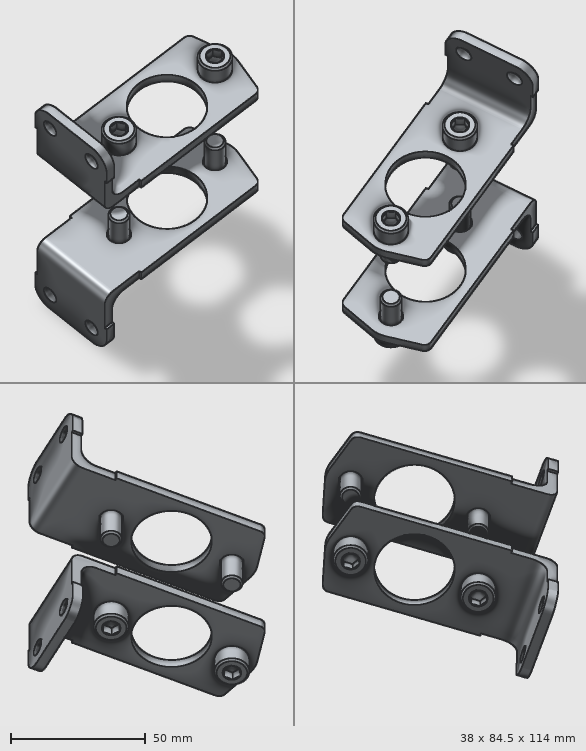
import cadquery as cq
import math

thickness = 4.0
total_height = 114.0
width = 38.0
length = 84.5
flange_height = 32.0
inner_bend_radius = 6.0
outer_bend_radius = 4.5

relief_depth = 1.0
relief_end = 18.0

tip_slope = 15.0
tip_radius = 12.0
shoulder_radius = 3.0

flange_corner_setback = 6.6
flange_corner_radius = 8.0

flange_hole_diameter = 6.6
flange_hole_spacing = 22.0
flange_hole_inset = 8.0

large_hole_diameter = 30.0
large_hole_y = 50.0
screw_hole_diameter = 9.0
screw_offset = 25.0

shaft_diameter = 8.0
shaft_length = 16.0
shaft_chamfer = 0.8
head_diameter = 13.0
head_height = 8.0
head_chamfer = 0.8
head_base_chamfer = 0.2
socket_sides = 6
socket_width = 6.0
socket_depth = 4.0
socket_cone_angle = 120.0

half_width = width / 2
base_bottom = total_height / 2 - flange_height
base_top = base_bottom + thickness
flange_top = total_height / 2
screw_ys = (large_hole_y - screw_offset, large_hole_y + screw_offset)
socket_half_side_angle = 180 / socket_sides
socket_corner_diameter = socket_width / math.cos(math.radians(socket_half_side_angle))


def bent_sheet():
    """L-shaped sheet of full width with a rounded bend."""
    profile = (
        cq.Workplane("YZ")
        .moveTo(0, base_bottom)
        .lineTo(length, base_bottom)
        .lineTo(length, base_top)
        .lineTo(thickness, base_top)
        .lineTo(thickness, flange_top)
        .lineTo(0, flange_top)
        .close()
    )
    sheet = profile.extrude(half_width, both=True)
    inner_corner = cq.selectors.NearestToPointSelector((0, thickness, base_top))
    sheet = sheet.edges(inner_corner).fillet(inner_bend_radius)
    outer_corner = cq.selectors.NearestToPointSelector((0, 0, base_bottom))
    return sheet.edges(outer_corner).fillet(outer_bend_radius)


def base_outline():
    """Upright prism with the outline of the base plate, pointed at the far end."""
    slope = math.radians(tip_slope)
    tip_end_x = tip_radius * math.sin(slope)
    tip_end_y = length - tip_radius * (1 - math.cos(slope))
    corner_y = tip_end_y - (half_width - tip_end_x) * math.tan(slope)
    shoulder_turn = math.pi / 2 - slope
    shoulder_setback = shoulder_radius * math.tan(shoulder_turn / 2)
    side_end_y = corner_y - shoulder_setback
    shoulder_x = half_width - shoulder_setback * math.cos(slope)
    shoulder_y = corner_y + shoulder_setback * math.sin(slope)
    return (
        cq.Workplane("XY")
        .workplane(offset=base_bottom)
        .moveTo(-half_width, 0)
        .lineTo(half_width, 0)
        .lineTo(half_width, side_end_y)
        .radiusArc((shoulder_x, shoulder_y), -shoulder_radius)
        .lineTo(tip_end_x, tip_end_y)
        .threePointArc((0, length), (-tip_end_x, tip_end_y))
        .lineTo(-shoulder_x, shoulder_y)
        .radiusArc((-half_width, side_end_y), -shoulder_radius)
        .close()
        .extrude(flange_height)
    )


def flange_outline():
    """Prism along Y with the outline of the flange, its two upper corners cut by arcs."""
    arc_x = half_width - flange_corner_setback
    arc_z = flange_top - flange_corner_setback
    return (
        cq.Workplane("XZ")
        .moveTo(-half_width, base_bottom)
        .lineTo(half_width, base_bottom)
        .lineTo(half_width, arc_z)
        .radiusArc((arc_x, flange_top), -flange_corner_radius)
        .lineTo(-arc_x, flange_top)
        .radiusArc((-half_width, arc_z), -flange_corner_radius)
        .close()
        .extrude(-length)
    )


def bend_reliefs():
    """Blocks that narrow the sheet on both sides of the bend."""
    block = cq.Workplane("XY").box(relief_depth, relief_end, relief_end, centered=(True, False, False))
    offset = half_width - relief_depth / 2
    left = block.translate((-offset, 0, base_bottom))
    right = block.translate((offset, 0, base_bottom))
    return left.union(right)


def base_holes():
    """Large central opening and the two screw clearance holes."""
    plane = cq.Workplane("XY").workplane(offset=base_bottom)
    opening = plane.center(0, large_hole_y).circle(large_hole_diameter / 2).extrude(thickness)
    screw_places = [(0, y) for y in screw_ys]
    clearance = plane.pushPoints(screw_places).circle(screw_hole_diameter / 2).extrude(thickness)
    return opening.union(clearance)


def flange_holes():
    """Pair of mounting holes through the flange."""
    hole_z = flange_top - flange_hole_inset
    places = [(side * flange_hole_spacing / 2, hole_z) for side in (-1, 1)]
    return cq.Workplane("XZ").pushPoints(places).circle(flange_hole_diameter / 2).extrude(-thickness)


def make_bracket():
    """Upper bracket, with its flange pointing up."""
    bracket = bent_sheet().intersect(base_outline()).intersect(flange_outline())
    return bracket.cut(bend_reliefs()).cut(base_holes()).cut(flange_holes())


def make_screw(y):
    """Socket head screw, head resting on the upper bracket and shaft pointing down."""
    head = cq.Workplane("XY").circle(head_diameter / 2).extrude(head_height)
    head = head.faces(">Z").chamfer(head_chamfer)
    head = head.faces("<Z").chamfer(head_base_chamfer)
    shaft = cq.Workplane("XY").circle(shaft_diameter / 2).extrude(-shaft_length)
    shaft = shaft.faces("<Z").chamfer(shaft_chamfer)

    socket = (
        cq.Workplane("XY")
        .workplane(offset=head_height - socket_depth)
        .transformed(rotate=(0, 0, socket_half_side_angle))
        .polygon(socket_sides, socket_corner_diameter)
        .extrude(socket_depth)
    )
    cone_radius = socket_corner_diameter / 2
    cone_depth = cone_radius / math.tan(math.radians(socket_cone_angle / 2))
    cone = cq.Workplane(cq.Solid.makeCone(cone_radius, 0, cone_depth, dir=cq.Vector(0, 0, -1)))
    lead_in = cone.translate((0, 0, head_height))
    floor_cone = cone.translate((0, 0, head_height - socket_depth))
    floor = floor_cone.intersect(socket.translate((0, 0, -socket_depth)))
    screw = head.union(shaft).cut(socket).cut(floor).cut(lead_in)
    return screw.translate((0, y, base_top))


upper_bracket = make_bracket()
lower_bracket = upper_bracket.mirror("XY")

upper_screws = [make_screw(y) for y in screw_ys]
lower_screws = [screw.mirror("XY") for screw in upper_screws]

screw_solids = [screw.val() for screw in upper_screws + lower_screws]
result = cq.Compound.makeCompound([upper_bracket.val(), lower_bracket.val(), *screw_solids])